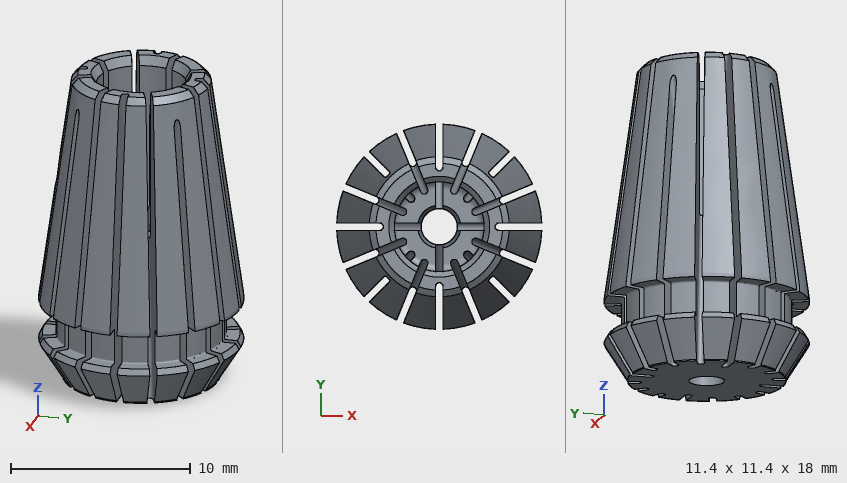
import cadquery as cq
import math

total_height = 18.0
max_radius = 11.43 / 2

nose_radius = 4.41
nose_band = 0.07
rim_height = 2.16
neck_bottom = 2.5
rim_top_radius = 5.5
neck_radius = 4.75
neck_top = 4.5
neck_fillet = 0.09

cone_band_top = 4.7
cone_half_angle = 8.0
chamfer_bottom = 17.62
top_radius = 3.53
cone_top_radius = max_radius - (chamfer_bottom - cone_band_top) * math.tan(math.radians(cone_half_angle))

small_bore_radius = 2.0 / 2
small_bore_flare = 0.2
flare_length = 1.44
large_bore_radius = 2.5
bore_floor = 9.0
floor_fillet = 0.43
mouth_chamfer_width = 0.3
mouth_chamfer_depth = 0.52

slot_width = 0.41
slot_reach = 36.0

axial_nose_floor = ((3.11, 0), (small_bore_radius, 2.79))
axial_top_floor = ((large_bore_radius, 15.48), (3.11, total_height))
long_nose_floor = ((3.65, 0), (1.98, bore_floor))
diagonal_top_floor = ((large_bore_radius, 10.84), (4.07, 16.78))


def make_body():
    """Solid outer shape, turned about Z."""
    outline = (
        cq.Workplane("XZ")
        .lineTo(nose_radius, 0)
        .lineTo(nose_radius, nose_band)
        .lineTo(max_radius, rim_height)
        .lineTo(rim_top_radius, neck_bottom)
        .lineTo(neck_radius + neck_fillet, neck_bottom)
        .radiusArc((neck_radius, neck_bottom + neck_fillet), neck_fillet)
        .lineTo(neck_radius, neck_top - neck_fillet)
        .radiusArc((neck_radius + neck_fillet, neck_top), neck_fillet)
        .lineTo(max_radius, neck_top)
        .lineTo(max_radius, cone_band_top)
        .lineTo(cone_top_radius, chamfer_bottom)
        .lineTo(top_radius, total_height)
        .lineTo(0, total_height)
        .close()
    )
    return outline.revolve(360, (0, 0, 0), (0, 1, 0))


def make_bore():
    """Stepped hole through the body, turned about Z."""
    outline = (
        cq.Workplane("XZ")
        .lineTo(small_bore_radius, 0)
        .lineTo(small_bore_radius, bore_floor - flare_length)
        .lineTo(small_bore_radius + small_bore_flare, bore_floor)
        .lineTo(large_bore_radius - floor_fillet, bore_floor)
        .radiusArc((large_bore_radius, bore_floor + floor_fillet), -floor_fillet)
        .lineTo(large_bore_radius, total_height - mouth_chamfer_depth)
        .lineTo(large_bore_radius + mouth_chamfer_width, total_height)
        .lineTo(0, total_height)
        .close()
    )
    return outline.revolve(360, (0, 0, 0), (0, 1, 0))


def groove(floor_line):
    """Round-bottomed radial groove along +X, everything outside its slanted floor line."""
    (start_radius, start_height), (end_radius, end_height) = floor_line
    lean = math.degrees(math.atan2(end_radius - start_radius, end_height - start_height))
    blade = (
        cq.Workplane("XY")
        .center(slot_reach / 2, 0)
        .slot2D(slot_reach, slot_width)
        .extrude(slot_reach, both=True)
    )
    return blade.rotate((0, 0, 0), (0, 1, 0), lean).translate((start_radius, 0, start_height))


axial_slot = groove(axial_nose_floor).intersect(groove(axial_top_floor))
open_slot = groove(long_nose_floor)
diagonal_slot = open_slot.intersect(groove(diagonal_top_floor))

quarter_pattern = (axial_slot, open_slot, diagonal_slot, open_slot)
slots = quarter_pattern * 4
slot_spacing = 360 / len(slots)

result = make_body().cut(make_bore())
for index, slot in enumerate(slots):
    result = result.cut(slot.rotate((0, 0, 0), (0, 0, 1), index * slot_spacing))